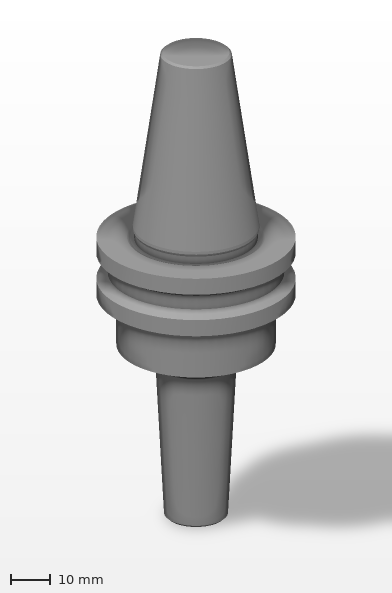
import cadquery as cq
import math


gauge_radius = 31.75 / 2
taper_ratio = 7 / 24
shank_length = 47.8
shank_end_radius = gauge_radius - shank_length * taper_ratio / 2
shank_end_chamfer = 0.5

gauge_land_length = 0.8
neck_radius = 15.5
neck_top_z = -1.5

flange_radius = 50 / 2
flange_top_z = -3.2
flange_bottom_z = -19.1
groove_center_z = -11.1
groove_floor_radius = 44.3 / 2
groove_floor_width = 3.75
groove_flank_angle = 30

relief_outer_radius = 17.3
relief_floor_radius = 16.6
relief_depth = 0.3

body_radius = 40 / 2
body_bottom_z = -32.8
body_fillet = 0.5
transition_bottom_z = -37.7

nose_bottom_z = -80.0
nose_top_radius = 10.2
nose_tip_radius = 8.0
nose_fillet = 0.5
tip_chamfer = 0.6


def make_turned_blank():
    """Revolve the half profile, from the shank end down to the nose tip."""
    profile = (
        cq.Workplane("XZ")
        .moveTo(0, shank_length)
        .lineTo(shank_end_radius, shank_length)
        .lineTo(gauge_radius, 0)
        .lineTo(gauge_radius, -gauge_land_length)
        .lineTo(neck_radius, neck_top_z)
        .lineTo(neck_radius, flange_top_z)
        .lineTo(flange_radius, flange_top_z)
        .lineTo(flange_radius, flange_bottom_z)
        .lineTo(body_radius, flange_bottom_z)
        .lineTo(body_radius, body_bottom_z)
        .lineTo(nose_top_radius, transition_bottom_z)
        .lineTo(nose_tip_radius, nose_bottom_z)
        .lineTo(0, nose_bottom_z)
        .close()
    )
    return profile.revolve(360, (0, 0, 0), (0, 1, 0))


def circle_edge(radius, z):
    """Select the circular edge of the given radius at height z."""
    margin = 0.05
    reach = radius + margin
    return cq.selectors.BoxSelector(
        (-reach, -reach, z - margin), (reach, reach, z + margin), boundingbox=True
    )


def break_edges(blank):
    """Chamfer both ends and round the two inside corners below the flange."""
    broken = blank.faces(">Z").edges().chamfer(shank_end_chamfer)
    broken = broken.faces("<Z").edges().chamfer(tip_chamfer)
    broken = broken.edges(circle_edge(body_radius, flange_bottom_z)).fillet(body_fillet)
    return broken.edges(circle_edge(nose_top_radius, transition_bottom_z)).fillet(nose_fillet)


def make_v_groove():
    """Ring that cuts the V-groove around the flange rim."""
    flank_rise = (flange_radius - groove_floor_radius) * math.tan(math.radians(groove_flank_angle))
    floor_half = groove_floor_width / 2
    mouth_half = floor_half + flank_rise
    profile = cq.Workplane("XZ").polyline([
        (groove_floor_radius, groove_center_z + floor_half),
        (flange_radius, groove_center_z + mouth_half),
        (flange_radius, groove_center_z - mouth_half),
        (groove_floor_radius, groove_center_z - floor_half),
    ]).close()
    return profile.revolve(360, (0, 0, 0), (0, 1, 0))


def make_face_relief():
    """Shallow ring that cuts the relief into the upper flange face."""
    relief_bottom_z = flange_top_z - relief_depth
    profile = cq.Workplane("XZ").polyline([
        (neck_radius, flange_top_z),
        (relief_outer_radius, flange_top_z),
        (relief_floor_radius, relief_bottom_z),
        (neck_radius, relief_bottom_z),
    ]).close()
    return profile.revolve(360, (0, 0, 0), (0, 1, 0))


tool_holder = break_edges(make_turned_blank())
result = tool_holder.cut(make_v_groove()).cut(make_face_relief())